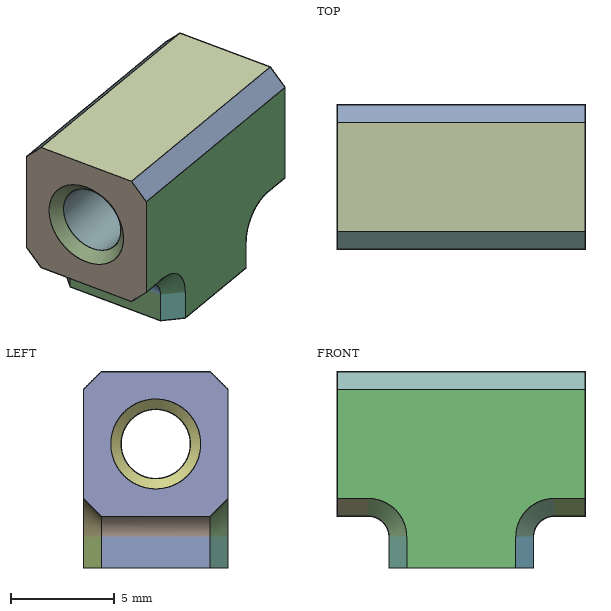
import cadquery as cq

length = 12.0
width = 7.0
total_height = 9.5
corner_radius = 1.0
edge_chamfer = 0.86
bore_diameter = 3.34
countersink_diameter = 4.35

half_length = length / 2
half_width = width / 2
branch_bottom = half_width - total_height
countersink_depth = (countersink_diameter - bore_diameter) / 2


def tee_body():
    """Tee outline extruded across the width, with rounded inside corners."""
    outline = [
        (-half_length, half_width),
        (half_length, half_width),
        (half_length, -half_width),
        (half_width, -half_width),
        (half_width, branch_bottom),
        (-half_width, branch_bottom),
        (-half_width, -half_width),
        (-half_length, -half_width),
    ]
    body = cq.Workplane("XZ").polyline(outline).close().extrude(half_width, both=True)
    reach = half_width + corner_radius
    inside_corners = cq.selectors.BoxSelector(
        (-reach, -half_width, -reach),
        (reach, half_width, 0),
    )
    return body.edges("|Y").edges(inside_corners).fillet(corner_radius)


def chamfer_long_edges(body):
    """Bevel the front and back outlines, leaving the three port faces square."""
    port_edges = body.faces("<X or >X or <Z").edges().vals()
    side_edges = body.faces("<Y or >Y").edges()
    return side_edges.filter(
        lambda edge: not any(edge.isSame(port_edge) for port_edge in port_edges)
    ).chamfer(edge_chamfer)


def countersunk_bore():
    """Cutter for the through bore along X, flared at 45 degrees at both ends."""
    bore_radius = bore_diameter / 2
    flare_radius = countersink_diameter / 2
    flare_start = half_length - countersink_depth
    half_section = [
        (-half_length, 0),
        (-half_length, flare_radius),
        (-flare_start, bore_radius),
        (flare_start, bore_radius),
        (half_length, flare_radius),
        (half_length, 0),
    ]
    profile = cq.Workplane("XY").polyline(half_section).close()
    return profile.revolve(360, (0, 0, 0), (1, 0, 0))


result = chamfer_long_edges(tee_body()).cut(countersunk_bore())